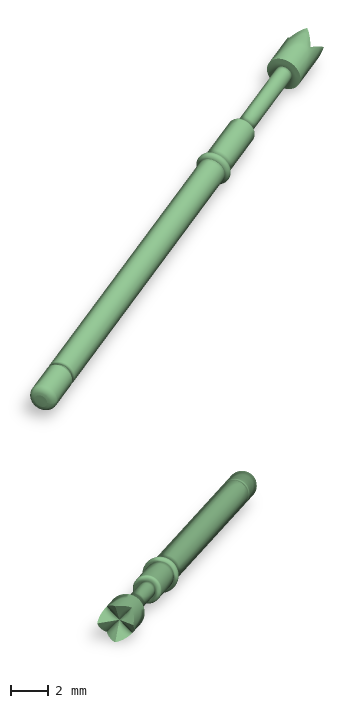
import cadquery as cq
import math

SIN_45 = math.sin(math.radians(45))

LENGTH = 34.3
TIP_Y = LENGTH / 2
TAIL_Y = -LENGTH / 2

CROWN_RADIUS = 1.0
CROWN_LENGTH = 3.02
NOTCH_DEPTH = 1.1
NOTCH_ANGLES = (45, 135)
STEM_RADIUS = 0.48
STEM_INSERTION = 3.43

BARREL_RADIUS = 0.8
MOUTH_Y = TIP_Y - 8.35
MOUTH_FILLET = 0.17
TAIL_FILLET = 0.4
COLLAR_RADIUS = CROWN_RADIUS
COLLAR_FRONT_Y = TIP_Y - 11.8
COLLAR_WIDTH = 0.5
GROOVE_Y = TIP_Y - 31.8
GROOVE_FLOOR_WIDTH = 0.15
GROOVE_LIP_RADIUS = 0.15

CROWN_BASE_Y = TIP_Y - CROWN_LENGTH
STEM_END_Y = MOUTH_Y - STEM_INSERTION


def rod(radius, start_y, end_y):
    """Cylinder about the Y axis."""
    return cq.Workplane("XZ", origin=(0, end_y, 0)).circle(radius).extrude(end_y - start_y)


def crown_notch(angle):
    """V-groove across the crown face, turned about Y; its two walls meet the crown's tooth tips."""
    half_width = CROWN_RADIUS * SIN_45
    return (
        cq.Workplane("XY")
        .moveTo(-half_width, TIP_Y)
        .lineTo(0, TIP_Y - NOTCH_DEPTH)
        .lineTo(half_width, TIP_Y)
        .close()
        .extrude(CROWN_RADIUS, both=True)
        .rotate((0, 0, 0), (0, 1, 0), angle)
    )


def make_plunger():
    """Four-toothed crown on a round stem."""
    crown = rod(CROWN_RADIUS, CROWN_BASE_Y, TIP_Y)
    for angle in NOTCH_ANGLES:
        crown = crown.cut(crown_notch(angle))
    stem = rod(STEM_RADIUS, STEM_END_Y, CROWN_BASE_Y)
    return crown.union(stem)


def groove_ring():
    """Ring of material removed by the crimp groove: a narrow floor between two rounded lips."""
    floor_radius = BARREL_RADIUS - GROOVE_LIP_RADIUS
    half_floor = GROOVE_FLOOR_WIDTH / 2
    half_opening = half_floor + GROOVE_LIP_RADIUS
    lip_mid = GROOVE_LIP_RADIUS * SIN_45
    return (
        cq.Workplane("XY")
        .moveTo(BARREL_RADIUS, GROOVE_Y - half_opening)
        .threePointArc(
            (floor_radius + lip_mid, GROOVE_Y - half_opening + lip_mid),
            (floor_radius, GROOVE_Y - half_floor),
        )
        .lineTo(floor_radius, GROOVE_Y + half_floor)
        .threePointArc(
            (floor_radius + lip_mid, GROOVE_Y + half_opening - lip_mid),
            (BARREL_RADIUS, GROOVE_Y + half_opening),
        )
        .close()
        .revolve(360, (0, 0, 0), (0, 1, 0))
    )


def make_barrel():
    """Tube with a rounded mouth and tail, a bulged collar and a crimp groove."""
    tube = rod(BARREL_RADIUS, TAIL_Y, MOUTH_Y)
    tube = tube.faces(">Y").edges().fillet(MOUTH_FILLET)
    tube = tube.faces("<Y").edges().fillet(TAIL_FILLET)

    collar = (
        cq.Workplane("XY")
        .moveTo(0, COLLAR_FRONT_Y)
        .lineTo(BARREL_RADIUS, COLLAR_FRONT_Y)
        .threePointArc(
            (COLLAR_RADIUS, COLLAR_FRONT_Y - COLLAR_WIDTH / 2),
            (BARREL_RADIUS, COLLAR_FRONT_Y - COLLAR_WIDTH),
        )
        .lineTo(0, COLLAR_FRONT_Y - COLLAR_WIDTH)
        .close()
        .revolve(360, (0, 0, 0), (0, 1, 0))
    )
    stem_bore = rod(STEM_RADIUS, STEM_END_Y, MOUTH_Y)
    return tube.union(collar).cut(groove_ring()).cut(stem_bore)


plunger = make_plunger()
barrel = make_barrel()

result = cq.Compound.makeCompound([plunger.val(), barrel.val()])